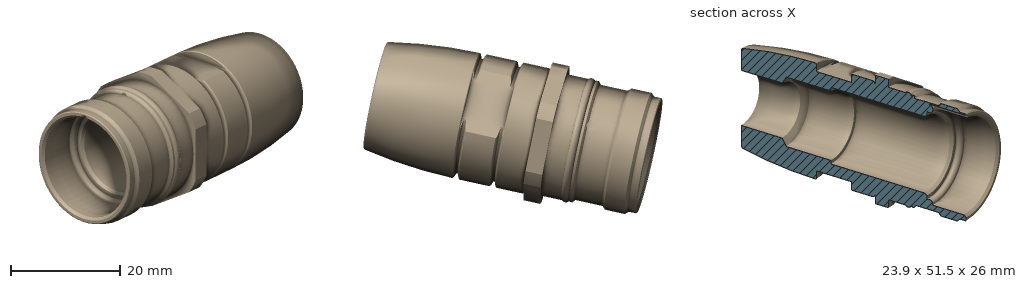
import cadquery as cq
import math

length = 51.5

spigot_radius = 10.8
land_radius = 11.4
collar_radius = 11.75
groove_floor_radius = 10.75
dome_end_radius = 10.15

spigot_end = 1.5
land_front = 2.1
land_rear = 5.8
neck_front = 6.4
neck_rear = 11.55
lip_front = 12.0
lip_rear = 12.45
seal_seat_end = 14.0
hex_front = 17.75
hex_rear = 20.9
grip_front = 26.3
grip_rear = 34.3

spigot_chamfer = 0.15
collar_fillet = 0.55
dome_fillet = 0.4

hex_across_flats = 23.9
hex_corner_radius = 13.0
flat_height = 10.05

groove_width = 1.05
groove_floor_width = 0.4
groove_edge_chamfer = 0.15

outer_seal_radius = 10.8
outer_seal_station = 13.35
outer_seal_section = 0.8
inner_seal_radius = 9.6
inner_seal_station = 8.5
inner_seal_section = 0.9

mouth_radius = 10.1
socket_radius = 9.65
mouth_chamfer_depth = 0.45
bore_radius = 7.65
bore_chamfer = 0.4
bore_chamfer_depth = 0.55
shoulder = 8.95
bore_end = 30.9
inner_step_radius = 6.95
inner_step_end = 41.2
cable_radius = 5.5
cable_cone_depth = 0.95

keyway_radius = 1.0
keyway_top = 10.45
mark_radius = 1.0
mark_station = 10.8
mark_height = 10.75


def revolve_about_y(profile):
    """Turn a closed (radius, Y) profile about the Y axis."""
    return profile.close().revolve(360, (0, 0, 0), (0, 1, 0))


def inner_seal():
    section = cq.Workplane("XY").center(inner_seal_radius, inner_seal_station).circle(inner_seal_section)
    return section.revolve(360, (-inner_seal_radius, 0, 0), (-inner_seal_radius, 1, 0))


def hex_nut(y_start, y_end):
    """Hexagon with flats on +-X, its corners turned to a circle."""
    thickness = y_end - y_start
    plane = cq.Workplane("XZ", origin=(0, y_end, 0))
    across_corners = hex_across_flats / math.cos(math.pi / 6)
    prism = plane.transformed(rotate=(0, 0, 30)).polygon(6, across_corners).extrude(thickness)
    return prism.intersect(plane.circle(hex_corner_radius).extrude(thickness))


def turned_body():
    corner = 1 - math.sqrt(0.5)
    seal_edge_rise = math.sqrt(outer_seal_section**2 - (seal_seat_end - outer_seal_station) ** 2)
    dome_end = length - dome_fillet
    dome_span = dome_end - grip_rear
    dome_drop = collar_radius - dome_end_radius
    dome_arc_radius = (dome_span**2 + dome_drop**2) / (2 * dome_drop)
    dome_mid_span = dome_span / 2
    dome_mid_drop = dome_arc_radius - math.sqrt(dome_arc_radius**2 - dome_mid_span**2)
    return revolve_about_y(
        cq.Workplane("XY")
        .moveTo(0, 0)
        .lineTo(spigot_radius - spigot_chamfer, 0)
        .lineTo(spigot_radius, spigot_chamfer)
        .lineTo(spigot_radius, spigot_end)
        .lineTo(land_radius, land_front)
        .lineTo(land_radius, land_rear)
        .lineTo(spigot_radius, neck_front)
        .lineTo(spigot_radius, neck_rear)
        .lineTo(land_radius, lip_front)
        .lineTo(land_radius, lip_rear)
        .lineTo(outer_seal_radius, lip_rear)
        .lineTo(outer_seal_radius, outer_seal_station - outer_seal_section)
        .threePointArc(
            (outer_seal_radius + outer_seal_section, outer_seal_station),
            (outer_seal_radius + seal_edge_rise, seal_seat_end),
        )
        .lineTo(land_radius, seal_seat_end)
        .lineTo(land_radius, hex_rear)
        .lineTo(collar_radius - collar_fillet, hex_rear)
        .threePointArc(
            (collar_radius - corner * collar_fillet, hex_rear + corner * collar_fillet),
            (collar_radius, hex_rear + collar_fillet),
        )
        .lineTo(collar_radius, grip_rear)
        .threePointArc(
            (collar_radius - dome_mid_drop, grip_rear + dome_mid_span),
            (dome_end_radius, dome_end),
        )
        .threePointArc(
            (dome_end_radius - corner * dome_fillet, length - corner * dome_fillet),
            (dome_end_radius - dome_fillet, length),
        )
        .lineTo(0, length)
    )


def grip_groove(station):
    """Cutter for a V groove centred on the given station."""
    half_floor = groove_floor_width / 2
    half_width = groove_width / 2
    half_mouth = half_width + groove_edge_chamfer
    edge_radius = collar_radius - groove_edge_chamfer
    return revolve_about_y(
        cq.Workplane("XY")
        .moveTo(groove_floor_radius, station - half_floor)
        .lineTo(edge_radius, station - half_width)
        .lineTo(collar_radius, station - half_mouth)
        .lineTo(collar_radius, station + half_mouth)
        .lineTo(edge_radius, station + half_width)
        .lineTo(groove_floor_radius, station + half_floor)
    )


def wrench_flat(side):
    """Cutter for the flat on the +Z (side = 1) or -Z (side = -1) face of the grip."""
    depth = hex_corner_radius - flat_height
    grip_length = grip_rear - grip_front
    return cq.Workplane("XY").box(2 * hex_corner_radius, grip_length, depth).translate(
        (0, (grip_front + grip_rear) / 2, side * (flat_height + depth / 2))
    )


def bore():
    return revolve_about_y(
        cq.Workplane("XY")
        .moveTo(0, 0)
        .lineTo(mouth_radius, 0)
        .lineTo(socket_radius, mouth_chamfer_depth)
        .lineTo(socket_radius, shoulder)
        .lineTo(bore_radius + bore_chamfer, shoulder)
        .lineTo(bore_radius, shoulder + bore_chamfer_depth)
        .lineTo(bore_radius, bore_end)
        .lineTo(inner_step_radius, bore_end)
        .lineTo(inner_step_radius, inner_step_end)
        .lineTo(cable_radius, inner_step_end + cable_cone_depth)
        .lineTo(cable_radius, length)
        .lineTo(0, length)
    )


def keyway():
    """Cutter for the round-topped slot along the top of the socket."""
    plane = cq.Workplane("XZ", origin=(0, inner_seal_station, keyway_top - keyway_radius))
    return plane.circle(keyway_radius).extrude(inner_seal_station)


def index_mark():
    """Cutter for the shallow round spot face on top of the neck."""
    plane = cq.Workplane("XY", origin=(0, mark_station, mark_height))
    return plane.circle(mark_radius).extrude(hex_corner_radius - mark_height)


body = turned_body().union(hex_nut(hex_front, hex_rear))

for groove_station in (grip_front + groove_width / 2, grip_rear - groove_width / 2):
    body = body.cut(grip_groove(groove_station))

for flat_side in (1, -1):
    body = body.cut(wrench_flat(flat_side))

result = body.cut(bore()).cut(keyway()).cut(index_mark()).union(inner_seal())